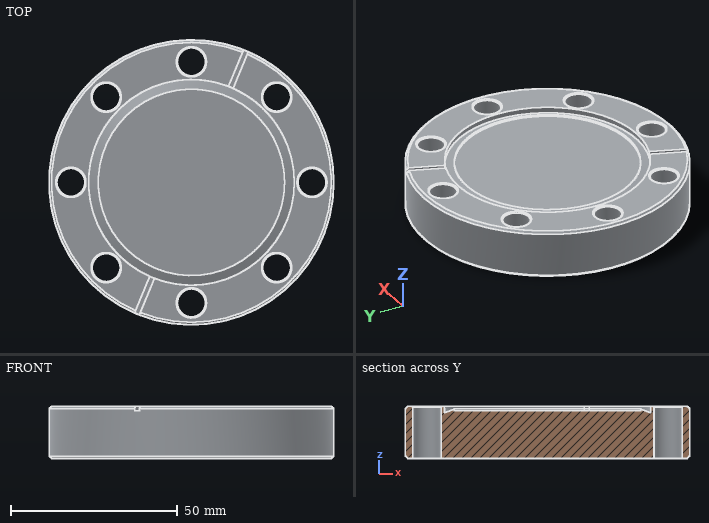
import cadquery as cq
import math

diameter = 85.6
thickness = 15.75
rim_chamfer = 0.8

recess_radius = 30.9
recess_depth = 1.9
knife_radius = 28.0
knife_angle = 20.0
floor_depth = 1.4

bolt_count = 8
bolt_circle_radius = 36.2
bolt_diameter = 8.4
bolt_chamfer = 0.3

groove_width = 1.5
groove_depth = 1.45
groove_angle = 1.5 * 360 / bolt_count


def make_body():
    disc = cq.Workplane("XY").circle(diameter / 2).extrude(thickness)
    return disc.edges().chamfer(rim_chamfer)


def make_recess():
    """Revolved cut: flat floor, upright knife face, conical slope, outer wall."""
    slope_rise = (recess_radius - knife_radius) * math.tan(math.radians(knife_angle))
    floor_z = thickness - floor_depth
    slope_bottom_z = thickness - recess_depth
    profile = (
        cq.Workplane("XZ")
        .moveTo(0, thickness)
        .lineTo(0, floor_z)
        .lineTo(knife_radius, floor_z)
        .lineTo(knife_radius, slope_bottom_z + slope_rise)
        .lineTo(recess_radius, slope_bottom_z)
        .lineTo(recess_radius, thickness)
        .close()
    )
    return profile.revolve(360, (0, 0, 0), (0, 1, 0))


def make_bolt_holes():
    """Through holes with a small chamfer at the top face."""
    hole_radius = bolt_diameter / 2
    mouth_radius = hole_radius + bolt_chamfer
    hole = cq.Solid.makeCylinder(hole_radius, thickness)
    mouth = cq.Solid.makeCone(
        hole_radius, mouth_radius, bolt_chamfer, cq.Vector(0, 0, thickness - bolt_chamfer)
    )
    cutter = hole.fuse(mouth)
    centres = cq.Workplane("XY").polarArray(bolt_circle_radius, 0, 360, bolt_count, rotate=False)
    return centres.eachpoint(lambda place: cutter.moved(place))


def make_grooves():
    """Bar across the full diameter, kept only outside the recess."""
    bar = cq.Workplane("XY").box(diameter, groove_width, groove_depth, centered=(True, True, False))
    outside_recess = bar.cut(cq.Workplane("XY").circle(recess_radius).extrude(groove_depth))
    placed = outside_recess.translate((0, 0, thickness - groove_depth))
    return placed.rotate((0, 0, 0), (0, 0, 1), groove_angle)


result = make_body().cut(make_recess()).cut(make_bolt_holes()).cut(make_grooves())